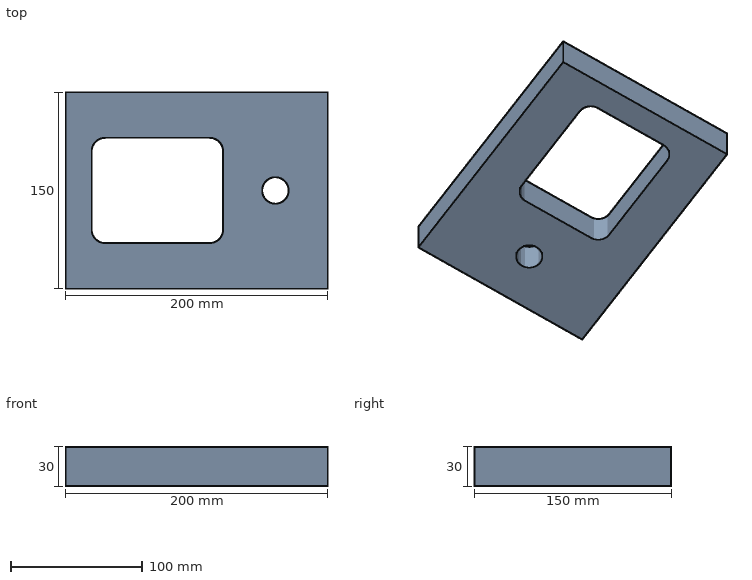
import cadquery as cq

plate_length = 200.0
plate_width = 150.0
plate_thickness = 30.0

window_length = 100.0
window_width = 80.0
window_corner_radius = 10.0
window_left_margin = 20.0

hole_diameter = 20.0
hole_right_margin = 40.0

window_center_x = -plate_length / 2 + window_left_margin + window_length / 2
hole_center_x = plate_length / 2 - hole_right_margin


def make_plate():
    return cq.Workplane("XY").rect(plate_length, plate_width).extrude(plate_thickness)


def make_window_cutter():
    return (
        cq.Workplane("XY")
        .center(window_center_x, 0)
        .rect(window_length, window_width)
        .extrude(plate_thickness)
        .edges("|Z")
        .fillet(window_corner_radius)
    )


def make_hole_cutter():
    return (
        cq.Workplane("XY")
        .center(hole_center_x, 0)
        .circle(hole_diameter / 2)
        .extrude(plate_thickness)
    )


result = make_plate().cut(make_window_cutter()).cut(make_hole_cutter())